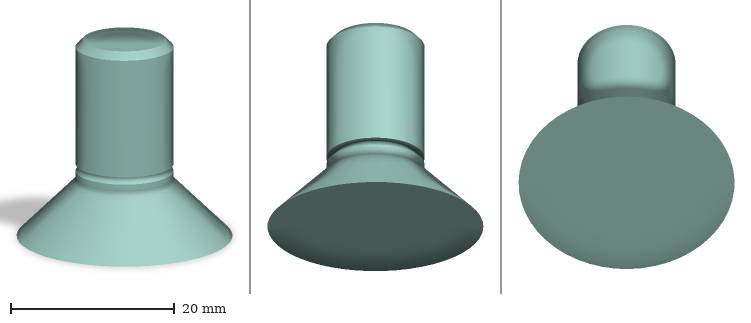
import cadquery as cq

total_height = 25.0
head_diameter = 26.38
shank_diameter = 12.0
chamfer = 0.92
shank_base_height = 9.2
neck_fillet = 0.5

head_radius = head_diameter / 2
shank_radius = shank_diameter / 2
chamfered_radius = shank_radius - chamfer

cone_height = head_radius - shank_radius
collar_top = shank_base_height - chamfer


def make_head():
    """Cone and chamfered collar, with a rounded inner corner between them."""
    head = (
        cq.Workplane("XZ")
        .moveTo(0, 0)
        .lineTo(head_radius, 0)
        .lineTo(shank_radius, cone_height)
        .lineTo(shank_radius, collar_top)
        .lineTo(chamfered_radius, shank_base_height)
        .lineTo(0, shank_base_height)
        .close()
        .revolve(360, (0, 0, 0), (0, 1, 0))
    )
    neck_edge = cq.selectors.RadiusNthSelector(1)
    neck_corner = head.edges("%CIRCLE").edges(neck_edge).edges("<Z")
    return neck_corner.fillet(neck_fillet)


def make_shank():
    """Plain cylinder with a chamfered tip."""
    return (
        cq.Workplane("XY", origin=(0, 0, shank_base_height))
        .circle(shank_radius)
        .extrude(total_height - shank_base_height)
        .faces(">Z")
        .chamfer(chamfer)
    )


result = make_head().union(make_shank())